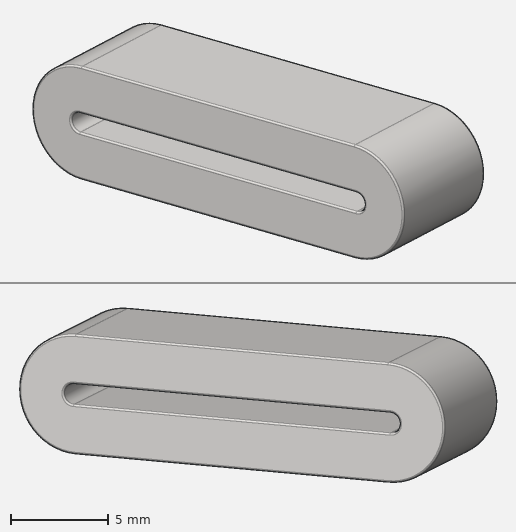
import cadquery as cq

length = 23.8
depth = 7.0
height = 6.3

slot_length = 18.8
slot_height = 1.1

rim_radius = 0.1


def rounded_bar(bar_length, bar_height):
    """Solid with semicircular ends, spanning the full depth and centred on the origin."""
    outline = cq.Workplane("XZ").slot2D(bar_length, bar_height)
    return outline.extrude(depth / 2, both=True)


body = rounded_bar(length, height).cut(rounded_bar(slot_length, slot_height))
result = body.faces("<Y or >Y").edges().fillet(rim_radius)